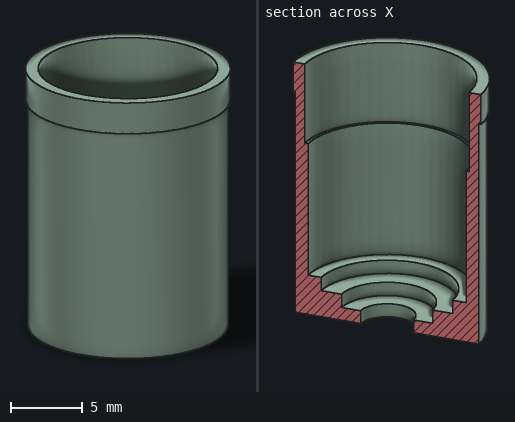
import cadquery as cq

height = 19.0
collar_diameter = 14.3
collar_height = 2.28
body_diameter = 14.0

mouth_diameter = 12.5
mouth_depth = 6.0
main_diameter = 12.0
lower_diameter = 10.0
seat_diameter = 6.9
hole_diameter = 4.0

step_height = 1.0


def make_sleeve():
    """Cylindrical body standing on Z = 0, with a slightly wider collar at the top."""
    body = cq.Workplane("XY").circle(body_diameter / 2).extrude(height)
    collar = (
        cq.Workplane("XY")
        .workplane(offset=height - collar_height)
        .circle(collar_diameter / 2)
        .extrude(collar_height)
    )
    return body.union(collar)


def bore_down_to(floor_z, diameter):
    """Cylinder that reaches from the top rim down to the given floor level."""
    depth = height - floor_z
    return cq.Workplane("XY").workplane(offset=floor_z).circle(diameter / 2).extrude(depth)


bore_steps = [
    (height - mouth_depth, mouth_diameter),
    (3 * step_height, main_diameter),
    (2 * step_height, lower_diameter),
    (step_height, seat_diameter),
    (0, hole_diameter),
]

result = make_sleeve()
for floor_level, bore_diameter in bore_steps:
    result = result.cut(bore_down_to(floor_level, bore_diameter))